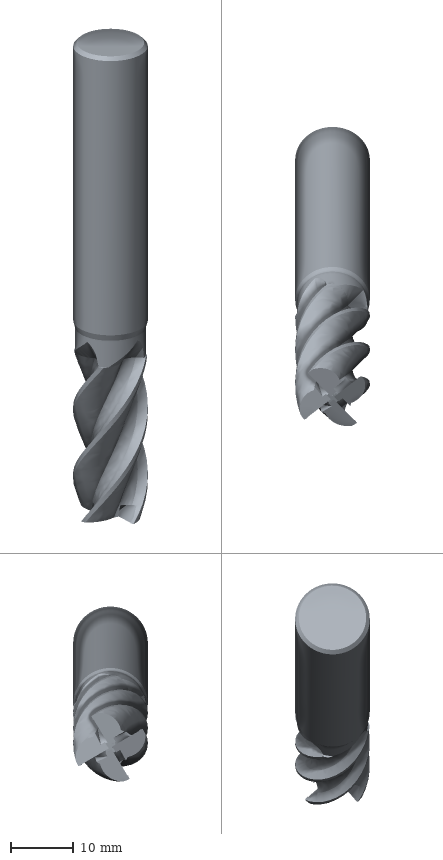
import cadquery as cq
import math

TOTAL_LENGTH = 83.0
DIAMETER = 12.0
RADIUS = DIAMETER / 2
CUT_LENGTH = 28.1
NECK_RADIUS = 5.7
NECK_TOP = 32.9
NECK_CONE_HEIGHT = 1.1
TOP_CHAMFER = 0.6

FLUTE_COUNT = 4
PITCH_ANGLE = 360 / FLUTE_COUNT
HELIX_LEAD = 47.5
MARGIN_ANGLE = 8.4
BACK_RADIUS = 5.0
BACK_ANGLE = 30.0
CORE_RADIUS = 3.2
CORE_ANGLE = 58.0
GULLET_RADIUS = 3.6
GULLET_ANGLE = 75.0
RAKE_RADIUS = 4.4
RAKE_ANGLE = 86.0

RUNOUT_RISE = 7.5
RUNOUT_SLOPE = 0.67
RUNOUT_ANGLE = 80.0
TWIST = 360 * CUT_LENGTH / HELIX_LEAD

END_RELIEF_ANGLE = 10.0
RELIEF_SIDE_OFFSET = 0.3
GASH_DEPTH = 2.5
GASH_LEAN = 1.5
GASH_TOP_WIDTH = 2.0
GASH_BOTTOM_WIDTH = 1.2
GASH_BOTTOM_START = 1.0
GASH_TOP_START = 3.2
GASH_END = 5.4


def polar(radius, angle):
    return (radius * math.cos(math.radians(angle)), radius * math.sin(math.radians(angle)))


def add_flute_side(outline, start):
    """Draw from the heel of the margin at start, over the tooth back and gullet, to the next cutting edge."""
    outline = outline.threePointArc(polar(BACK_RADIUS, start + BACK_ANGLE), polar(CORE_RADIUS, start + CORE_ANGLE))
    outline = outline.threePointArc(
        polar(GULLET_RADIUS, start + GULLET_ANGLE), polar(RAKE_RADIUS, start + RAKE_ANGLE)
    )
    return outline.lineTo(*polar(RADIUS, start + PITCH_ANGLE))


def make_cutter_blank():
    outline = cq.Workplane("XY").moveTo(*polar(RADIUS, 0))
    for tooth in range(FLUTE_COUNT):
        start = tooth * PITCH_ANGLE
        outline = outline.threePointArc(
            polar(RADIUS, start + MARGIN_ANGLE / 2), polar(RADIUS, start + MARGIN_ANGLE)
        )
        outline = add_flute_side(outline, start)
    return outline.close().twistExtrude(CUT_LENGTH, TWIST)


def end_relief():
    """Wedge that lets the end of the tooth at angle 0 rise behind its cutting edge."""
    rise = DIAMETER * math.tan(math.radians(END_RELIEF_ANGLE))
    return (
        cq.Workplane("YZ", origin=(RELIEF_SIDE_OFFSET, 0, 0))
        .polyline([(0, 0), (DIAMETER, 0), (DIAMETER, rise)])
        .close()
        .extrude(DIAMETER)
    )


def end_gash():
    """Leaning slot in the tip, ahead of the cutting edge of the tooth at angle 0, sloping down toward the axis."""
    slot = (
        cq.Workplane("YZ")
        .polyline([
            (0, 0),
            (GASH_LEAN, GASH_DEPTH),
            (GASH_LEAN - GASH_TOP_WIDTH, GASH_DEPTH),
            (-GASH_BOTTOM_WIDTH, 0),
        ])
        .close()
        .extrude(GASH_END)
    )
    sloped_inner_end = (
        cq.Workplane("XZ")
        .polyline([
            (GASH_BOTTOM_START, 0),
            (GASH_TOP_START, GASH_DEPTH),
            (GASH_END, GASH_DEPTH),
            (GASH_END, 0),
        ])
        .close()
        .extrude(RADIUS, both=True)
    )
    return slot.intersect(sloped_inner_end)


def make_cutter():
    cutter = make_cutter_blank()
    for tooth in range(FLUTE_COUNT):
        for tool in (end_relief(), end_gash()):
            cutter = cutter.cut(tool.rotate((0, 0, 0), (0, 0, 1), tooth * PITCH_ANGLE))
    return cutter


def flute_runout():
    """One flute section, open to the outside, slid upward and outward from the top of the cutter."""
    outline = cq.Workplane("XY", origin=(0, 0, CUT_LENGTH)).moveTo(*polar(RADIUS, TWIST + MARGIN_ANGLE))
    outline = add_flute_side(outline, TWIST)
    outer_corners = [polar(2 * RADIUS, TWIST + PITCH_ANGLE), polar(2 * RADIUS, TWIST + MARGIN_ANGLE)]
    for corner in outer_corners:
        outline = outline.lineTo(*corner)
    section = outline.close().val()
    outward = polar(RUNOUT_RISE * RUNOUT_SLOPE, TWIST + RUNOUT_ANGLE)
    return cq.Workplane(cq.Solid.extrudeLinear(section, [], cq.Vector(*outward, RUNOUT_RISE)))


def make_shank():
    shank = (
        cq.Workplane("XZ")
        .polyline([
            (0, CUT_LENGTH),
            (NECK_RADIUS, CUT_LENGTH),
            (NECK_RADIUS, NECK_TOP),
            (RADIUS, NECK_TOP + NECK_CONE_HEIGHT),
            (RADIUS, TOTAL_LENGTH - TOP_CHAMFER),
            (RADIUS - TOP_CHAMFER, TOTAL_LENGTH),
            (0, TOTAL_LENGTH),
        ])
        .close()
        .revolve(360, (0, 0, 0), (0, 1, 0))
    )
    for flute in range(FLUTE_COUNT):
        shank = shank.cut(flute_runout().rotate((0, 0, 0), (0, 0, 1), flute * PITCH_ANGLE))
    return shank


cutter = make_cutter()
shank = make_shank()
result = cq.Compound.makeCompound([cutter.val(), shank.val()])